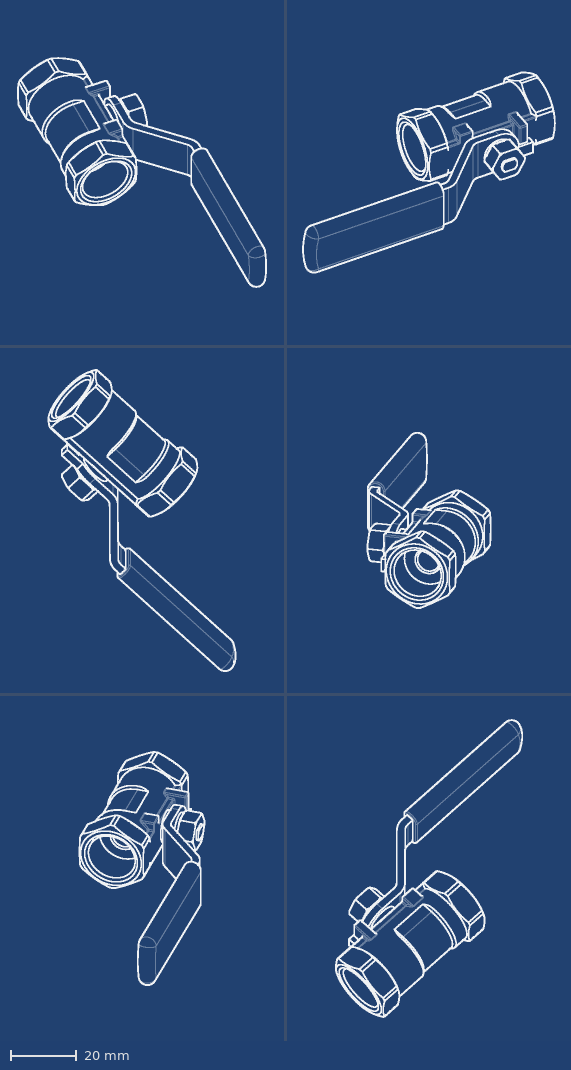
import cadquery as cq
import math


housing_length = 44.0
half_length = housing_length / 2
flats_width = 20.4
corner_width = 22.8
hex_length = 7.5
hex_face_diameter = 19.4
hex_chamfer_length = 0.9
barrel_diameter = 19.6

socket_diameter = 14.9
socket_depth = 11.6
socket_mouth_diameter = 16.9
socket_mouth_depth = 0.8
port_diameter = 7.0
port_chamfer = 0.6

recess_start = -4.1
recess_end = 9.9
recess_wall_run = 0.9
recess_floor_radius = 9.1

pad_top = flats_width / 2
pad_half_width = 5.2
pad_edge_round = 0.3
post_center = -8.7
post_width = 2.9
post_top = 14.2
post_side = 6.9
post_edge_round = 0.4
block_center = 8.9
block_width = 4.7
block_side = 8.05
root_fillet = 0.4

collar_diameter = 10.0
stem_diameter = 5.1
stem_flats_width = 3.8
stem_top = 21.4
nut_flats_width = 10.2
nut_bottom = 15.5
nut_top = 20.8
nut_chamfer = 0.4

lever_thickness = 2.5
lever_width = 13.8
lever_bottom = 11.9
lever_rise = 14.9
lever_bend_x = 9.1
bend_inner_radius = 2.9
lever_top = lever_bottom + lever_thickness
tab_end = -11.8
tab_low = -4.5
tab_high = -0.4

grip_start = 27.9
grip_thickness = 5.4
grip_width = 17.1
grip_end = 75.0
grip_bow = 0.8
grip_y = lever_bottom + lever_thickness / 2 + lever_rise
grip_mouth_round = 0.4


def cylinder_y(diameter, bottom, top):
    """Round bar on the stem axis."""
    return cq.Workplane("XZ", origin=(0, bottom, 0)).circle(diameter / 2).extrude(bottom - top)


def cuboid(x_range, y_range, z_range):
    """Block between the given limits."""
    sizes = [high - low for low, high in (x_range, y_range, z_range)]
    corner = (x_range[0], y_range[0], z_range[0])
    return cq.Workplane("XY").box(*sizes, centered=False).translate(corner)


def turned(points):
    """Solid turned about the bore axis from an (x, radius) outline."""
    return cq.Workplane("XY").polyline(points).close().revolve(360, (0, 0, 0), (1, 0, 0))


def hex_end():
    """Hexagonal wrench end at -X, with its corners cut flat and chamfered on both sides."""
    start = -half_length
    end = start + hex_length
    plane = cq.Workplane("YZ", origin=(start, 0, 0))
    hexagon = plane.polygon(6, flats_width, circumscribed=True).extrude(hex_length)
    corner_planes = (
        plane.polygon(6, corner_width, circumscribed=True)
        .extrude(hex_length)
        .rotate((0, 0, 0), (1, 0, 0), 30)
    )
    blank = turned([
        (start, 0),
        (start, hex_face_diameter / 2),
        (start + hex_chamfer_length, corner_width / 2),
        (start + hex_chamfer_length, flats_width),
        (end - hex_chamfer_length, flats_width),
        (end - hex_chamfer_length, corner_width / 2),
        (end, barrel_diameter / 2),
        (end, 0),
    ])
    return hexagon.intersect(corner_planes).intersect(blank)


def bore_cutter():
    """Through port with a wider socket at each end."""
    socket_floor = half_length - socket_depth
    half_outline = [
        (socket_floor - port_chamfer, port_diameter / 2),
        (socket_floor, port_diameter / 2 + port_chamfer),
        (socket_floor, socket_diameter / 2),
        (half_length - socket_mouth_depth, socket_diameter / 2),
        (half_length, socket_mouth_diameter / 2),
    ]
    mirrored = [(-x, radius) for x, radius in reversed(half_outline)]
    return turned([(-half_length, 0), *mirrored, *half_outline, (half_length, 0)])


def recess_cutter():
    """Sloped-wall recess: half round on the -Y side, straight on the +Y side."""
    outer = barrel_diameter / 2
    depth = outer - recess_floor_radius
    outline = [
        (recess_start + recess_wall_run, recess_floor_radius),
        (recess_start - recess_wall_run, outer + depth),
        (recess_end + recess_wall_run, outer + depth),
        (recess_end - recess_wall_run, recess_floor_radius),
    ]
    round_part = cq.Workplane("XZ").polyline(outline).close().revolve(180, (0, 0, 0), (1, 0, 0))
    upper_side = cq.Workplane("XZ").polyline(outline).close().extrude(-outer)
    return round_part, upper_side, upper_side.mirror("XY")


def stop_post():
    """Tall stop beside the lever tab, with rounded upright and top edges."""
    post = cuboid(
        (post_center - post_width / 2, post_center + post_width / 2), (0, post_top), (0, post_side)
    )
    return post.edges("|Y or >Y").fillet(post_edge_round)


def pad_and_block():
    """Flat pad along the barrel with the stop block on its +Z side, rounded around the top."""
    reach = half_length - hex_length + hex_chamfer_length
    block_start = block_center - block_width / 2
    block_end = block_center + block_width / 2
    pad = cuboid((-reach, reach), (0, pad_top), (-pad_half_width, pad_half_width))
    block = cuboid((block_start, block_end), (0, pad_top), (0, block_side))
    block_corners = cq.selectors.BoxSelector(
        (block_start - root_fillet, 0, pad_half_width - root_fillet),
        (block_end + root_fillet, pad_top, block_side + root_fillet),
    )
    joined = pad.union(block)
    joined = joined.edges("|Y").edges(block_corners).fillet(root_fillet)
    return joined.faces(">Y").edges().fillet(pad_edge_round)


def make_housing():
    """Barrel between two hexagonal ends, with the stem pad, the stops, the recess and the bore."""
    left_hex = hex_end()
    barrel = turned([
        (-half_length + hex_length / 2, 0),
        (-half_length + hex_length / 2, barrel_diameter / 2),
        (half_length - hex_length / 2, barrel_diameter / 2),
        (half_length - hex_length / 2, 0),
    ])
    for cutter in recess_cutter():
        barrel = barrel.cut(cutter)
    inner_half = half_length - hex_length
    body = barrel.union(left_hex).union(left_hex.mirror("YZ"))
    body = body.union(pad_and_block()).union(stop_post())
    body = body.cut(bore_cutter())
    roots = cq.selectors.BoxSelector(
        (-inner_half, pad_half_width - root_fillet, pad_half_width - root_fillet),
        (inner_half, pad_top - 2 * root_fillet, block_side + root_fillet),
    )
    return body.edges(roots).fillet(root_fillet)


def lever_strip():
    """Foot, 45 degree slope and handle run, in one constant thickness."""
    half = lever_thickness / 2
    miter = half * math.tan(math.radians(22.5))
    slope_top_x = lever_bend_x + lever_rise
    strip_end = grip_start + grip_thickness
    outline = [
        (0, lever_bottom),
        (lever_bend_x + miter, lever_bottom),
        (slope_top_x + miter, grip_y - half),
        (strip_end, grip_y - half),
        (strip_end, grip_y + half),
        (slope_top_x - miter, grip_y + half),
        (lever_bend_x - miter, lever_top),
        (0, lever_top),
    ]
    strip = cq.Workplane("XY").polyline(outline).close().extrude(lever_width / 2, both=True)
    inner_corners = (outline[2], outline[6])
    outer_corners = (outline[1], outline[5])
    for corners, radius in (
        (inner_corners, bend_inner_radius),
        (outer_corners, bend_inner_radius + lever_thickness),
    ):
        for x, y in corners:
            strip = strip.edges(cq.selectors.NearestToPointSelector((x, y, 0))).fillet(radius)
    return strip


def grip():
    """Flat handle with round sides; its bowed end carries the same rounding around the tip."""
    radius = grip_thickness / 2
    plate_half_width = grip_width / 2 - radius
    bow_end = grip_end - radius
    plate_end = bow_end - grip_bow
    bow_radius = (plate_half_width**2 + grip_bow**2) / (2 * grip_bow)
    bow_center = bow_end - bow_radius
    bow_angle = math.degrees(math.asin(plate_half_width / bow_radius))

    bar = (
        cq.Workplane("YZ", origin=(grip_start, grip_y, 0))
        .slot2D(grip_width, grip_thickness, 90)
        .extrude(plate_end - grip_start)
        .faces("<X")
        .edges()
        .fillet(grip_mouth_round)
    )
    tip = (
        cq.Workplane("XY", origin=(bow_center, grip_y, 0))
        .moveTo(0, -radius)
        .lineTo(bow_radius, -radius)
        .threePointArc((bow_radius + radius, 0), (bow_radius, radius))
        .lineTo(0, radius)
        .close()
        .revolve(2 * bow_angle, (0, 0, 0), (0, 1, 0))
        .rotate((bow_center, 0, 0), (bow_center, 1, 0), -bow_angle)
    )
    tip = tip.intersect(
        cuboid((plate_end, grip_end), (grip_y - radius, grip_y + radius), (-grip_width, grip_width))
    )
    handle = bar.union(tip)
    for side in (-plate_half_width, plate_half_width):
        handle = handle.union(cq.Workplane("XY").sphere(radius).translate((plate_end, grip_y, side)))
    return handle


def nut():
    """Hexagon nut with two corners on X and turned chamfers at both ends."""
    corner_radius = nut_flats_width / math.sqrt(3)
    hexagon = (
        cq.Workplane("XZ", origin=(0, nut_bottom, 0))
        .polygon(6, 2 * corner_radius)
        .extrude(nut_bottom - nut_top)
    )
    blank = cylinder_y(2 * corner_radius, nut_bottom, nut_top).edges().chamfer(nut_chamfer)
    return hexagon.intersect(blank)


def make_handle():
    """Stem, nut, lever and grip, standing on the housing pad."""
    hub = cylinder_y(lever_width, lever_bottom, lever_top)
    tab = cuboid((tab_end, 0), (lever_bottom, lever_top), (tab_low, tab_high))
    collar = cylinder_y(collar_diameter, pad_top, nut_bottom)
    half_flats = stem_flats_width / 2
    stem_blank = cuboid(
        (-stem_diameter, stem_diameter), (nut_bottom, stem_top), (-half_flats, half_flats)
    )
    stem_end = cylinder_y(stem_diameter, nut_bottom, stem_top).intersect(stem_blank)
    handle = lever_strip()
    for piece in (hub, tab, collar, nut(), stem_end, grip()):
        handle = handle.union(piece)
    return handle


housing = make_housing()
handle = make_handle()
result = cq.Compound.makeCompound([housing.val(), handle.val()])